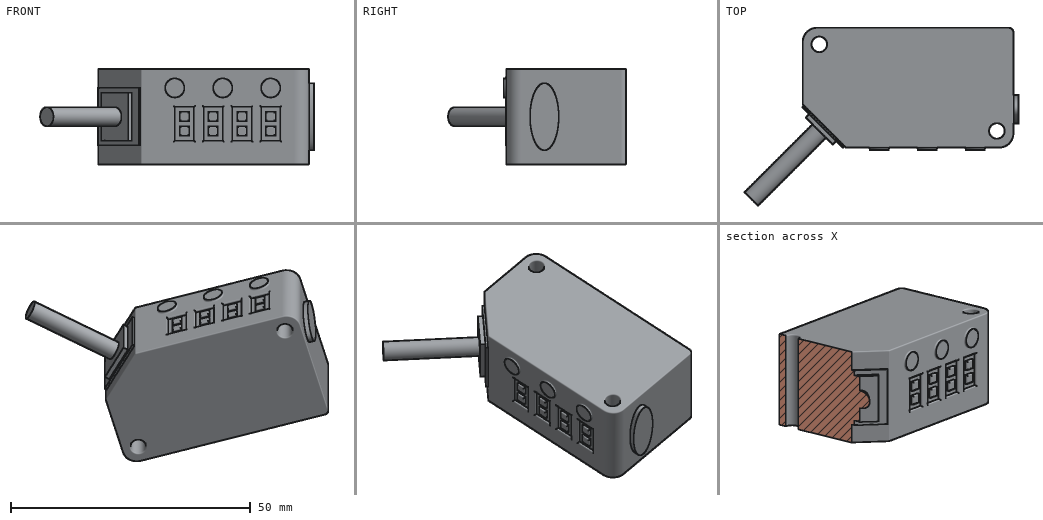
import cadquery as cq
import math

LENGTH = 44.0
WIDTH = 25.05
HEIGHT = 20.0
CORNER_CUT = 9.05
LARGE_CORNER_RADIUS = 3.05
SMALL_CORNER_RADIUS = 1.05
EDGE_ROUNDING = 0.26
MID_HEIGHT = HEIGHT / 2

HOLE_DIAMETER = 3.2
HOLE_INSET = 3.5

SEAL_SIZE = 12.0
SEAL_THICKNESS = 0.45
GLAND_WIDTH = 8.0
GLAND_HEIGHT = 10.0
GLAND_FACE_OFFSET = 1.5
CABLE_DIAMETER = 4.0
CABLE_OVERHANG = 12.1

LENS_WIDTH = 6.0
LENS_HEIGHT = 14.0
LENS_THICKNESS = 1.05
LENS_CENTER_Y = 8.0

BUTTON_COUNT = 3
BUTTON_PITCH = 10.0
BUTTON_DIAMETER = 4.0
BUTTON_THICKNESS = 0.5
FIRST_BUTTON_X = 16.0
BUTTON_Z = 16.0

DIGIT_COUNT = 4
DIGIT_PITCH = 6.0
DIGIT_WIDTH = 4.0
DIGIT_HEIGHT = 7.05
DIGIT_DEPTH = 0.5
DIGIT_Z = 8.5
LAST_DIGIT_X = FIRST_BUTTON_X + (BUTTON_COUNT - 1) * BUTTON_PITCH
FIRST_DIGIT_X = LAST_DIGIT_X - (DIGIT_COUNT - 1) * DIGIT_PITCH

SEGMENT_SIZE = 2.0
SEGMENT_PITCH = 3.05

PICK = 0.05

OVERLAP = 0.6


def make_housing():
    housing = (
        cq.Workplane("XY")
        .moveTo(CORNER_CUT, 0)
        .lineTo(LENGTH, 0)
        .lineTo(LENGTH, WIDTH)
        .lineTo(0, WIDTH)
        .lineTo(0, CORNER_CUT)
        .close()
        .extrude(HEIGHT)
    )

    def corner(x, y):
        return cq.selectors.BoxSelector((x - PICK, y - PICK, 0), (x + PICK, y + PICK, HEIGHT))

    housing = housing.edges(corner(0, WIDTH) + corner(LENGTH, 0)).fillet(LARGE_CORNER_RADIUS)
    housing = housing.edges(corner(LENGTH, WIDTH)).fillet(SMALL_CORNER_RADIUS)
    housing = housing.edges(corner(CORNER_CUT, 0) + corner(0, CORNER_CUT)).fillet(EDGE_ROUNDING)

    hole_centers = [(HOLE_INSET, WIDTH - HOLE_INSET), (LENGTH - HOLE_INSET, HOLE_INSET)]
    holes = cq.Workplane("XY").pushPoints(hole_centers).circle(HOLE_DIAMETER / 2).extrude(HEIGHT)
    housing = housing.cut(holes)
    housing = housing.faces("<Z or >Z").edges().fillet(EDGE_ROUNDING)
    return housing


def make_cable_outlet():
    middle = CORNER_CUT / 2
    cut_face = cq.Plane(origin=(middle, middle, MID_HEIGHT), xDir=(1, -1, 0), normal=(-1, -1, 0))
    inside = cq.Workplane(cut_face).workplane(offset=-OVERLAP)
    cable_radius = CABLE_DIAMETER / 2
    cable_end = (CABLE_OVERHANG + middle) * math.sqrt(2) - cable_radius
    seal = inside.rect(SEAL_SIZE, SEAL_SIZE).extrude(OVERLAP + SEAL_THICKNESS)
    gland = inside.rect(GLAND_WIDTH, GLAND_HEIGHT).extrude(OVERLAP + GLAND_FACE_OFFSET)
    cable = inside.circle(cable_radius).extrude(OVERLAP + cable_end)
    return seal.union(gland).union(cable)


def make_lens():
    return (
        cq.Workplane("YZ", origin=(LENGTH - OVERLAP, LENS_CENTER_Y, MID_HEIGHT))
        .ellipse(LENS_WIDTH / 2, LENS_HEIGHT / 2)
        .extrude(OVERLAP + LENS_THICKNESS)
    )


def round_front_edges(body, x, z, wide, high):
    """Round the edges that lie on the front wall within a rectangle around (x, z)."""
    half_width = wide / 2 + PICK
    half_height = high / 2 + PICK
    on_front = cq.selectors.BoxSelector(
        (x - half_width, -PICK, z - half_height),
        (x + half_width, PICK, z + half_height),
    )
    return body.edges(on_front).fillet(EDGE_ROUNDING)


def add_button(body, x):
    button = (
        cq.Workplane("XZ", origin=(x, OVERLAP, BUTTON_Z))
        .circle(BUTTON_DIAMETER / 2)
        .extrude(OVERLAP + BUTTON_THICKNESS)
    )
    return round_front_edges(body.union(button), x, BUTTON_Z, BUTTON_DIAMETER, BUTTON_DIAMETER)


def make_front_block(x, z, wide, high):
    """Rectangular block reaching from the front wall face to the floor of the digits."""
    return cq.Workplane("XZ", origin=(x, 0, z)).rect(wide, high).extrude(-DIGIT_DEPTH)


def make_digit_recess(x):
    recess = make_front_block(x, DIGIT_Z, DIGIT_WIDTH, DIGIT_HEIGHT)
    for side in (-1, 1):
        square_z = DIGIT_Z + side * SEGMENT_PITCH / 2
        recess = recess.cut(make_front_block(x, square_z, SEGMENT_SIZE, SEGMENT_SIZE))
    return recess


def cut_digit(body, x):
    return round_front_edges(body.cut(make_digit_recess(x)), x, DIGIT_Z, DIGIT_WIDTH, DIGIT_HEIGHT)


result = make_housing()
for index in range(DIGIT_COUNT):
    result = cut_digit(result, FIRST_DIGIT_X + index * DIGIT_PITCH)
for index in range(BUTTON_COUNT):
    result = add_button(result, FIRST_BUTTON_X + index * BUTTON_PITCH)
result = result.union(make_cable_outlet())
result = result.union(make_lens())